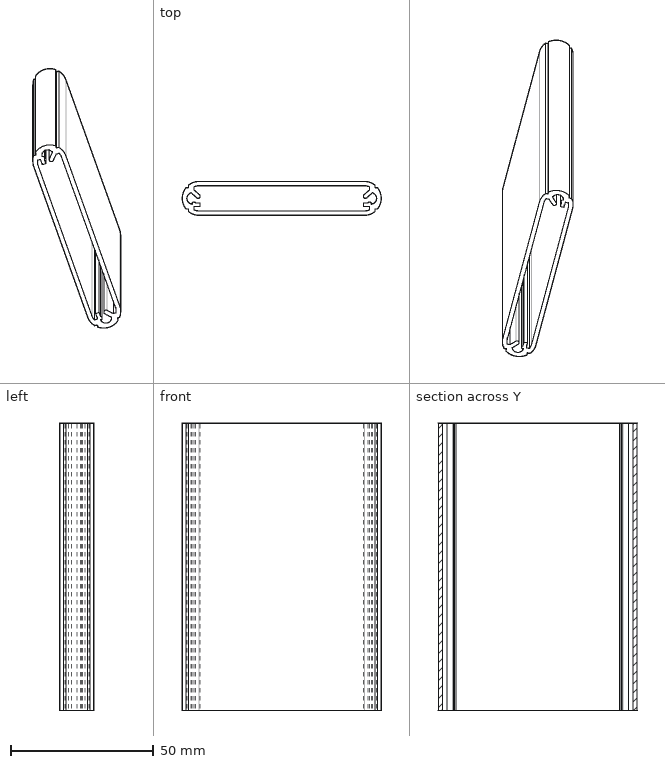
import cadquery as cq
import math

WIDTH = 70.0
THICKNESS = 12.0
LENGTH = 101.0

WALL = 1.6
CAVITY_HALF_WIDTH = 30.75

NOTCH_X = 32.8
NOTCH_Y = 3.8

CHANNEL_X = 31.3
CHANNEL_RADIUS = 2.0

RIB_TIP_X = 28.7
RIB_TOP_Y = -1.6
RIB_BOTTOM_Y = -2.9
BUMP_X = 30.85
BUMP_Y = -1.9
BUMP_RADIUS = 0.65

SLANT_ROOT_X = 31.9
SLANT_ROOT_Y = 3.0
SLANT_TIP_X = 29.4
SLANT_TIP_Y = 0.72
SLANT_THICKNESS = 1.5


def extrude_box(x_min, x_max, y_min, y_max):
    """Full-length block covering the given X and Y ranges."""
    block = cq.Workplane("XY").box(x_max - x_min, y_max - y_min, LENGTH, centered=False)
    return block.translate((x_min, y_min, 0))


def extrude_circle(x, y, radius):
    """Full-length cylinder along Z."""
    return cq.Workplane("XY").center(x, y).circle(radius).extrude(LENGTH)


def make_tube():
    """Round-ended tube whose even-walled cavity is cut off flat at both ends."""
    body = cq.Workplane("XY").slot2D(WIDTH, THICKNESS).extrude(LENGTH)
    cavity = cq.Workplane("XY").slot2D(WIDTH - 2 * WALL, THICKNESS - 2 * WALL).extrude(LENGTH)
    flat_ends = extrude_box(-CAVITY_HALF_WIDTH, CAVITY_HALF_WIDTH, -THICKNESS / 2, THICKNESS / 2)
    return body.cut(cavity.intersect(flat_ends))


def make_notches():
    """Material removed outside the four notch corners."""
    notch = extrude_box(NOTCH_X, WIDTH / 2, NOTCH_Y, THICKNESS / 2)
    right_pair = notch.union(notch.mirror("XZ"))
    return right_pair.union(right_pair.mirror("YZ"))


def make_slanted_rib():
    """Rib with rounded ends, sloping down from the end wall to its tip."""
    run = SLANT_ROOT_X - SLANT_TIP_X
    rise = SLANT_ROOT_Y - SLANT_TIP_Y
    rib_length = math.hypot(run, rise) + SLANT_THICKNESS
    angle = math.degrees(math.atan2(rise, run))
    return (
        cq.Workplane("XY")
        .center((SLANT_ROOT_X + SLANT_TIP_X) / 2, (SLANT_ROOT_Y + SLANT_TIP_Y) / 2)
        .slot2D(rib_length, SLANT_THICKNESS, angle)
        .extrude(LENGTH)
    )


def make_ribs():
    """Slanted rib, straight rib and bump of the +X end."""
    straight = extrude_box(RIB_TIP_X, CHANNEL_X, RIB_BOTTOM_Y, RIB_TOP_Y)
    bump = extrude_circle(BUMP_X, BUMP_Y, BUMP_RADIUS)
    return make_slanted_rib().union(straight).union(bump)


tube = make_tube().cut(make_notches())
for side in (1, -1):
    channel = extrude_circle(side * CHANNEL_X, 0, CHANNEL_RADIUS)
    ribs = make_ribs()
    if side < 0:
        ribs = ribs.mirror("YZ")
    tube = tube.cut(channel).union(ribs)

result = tube